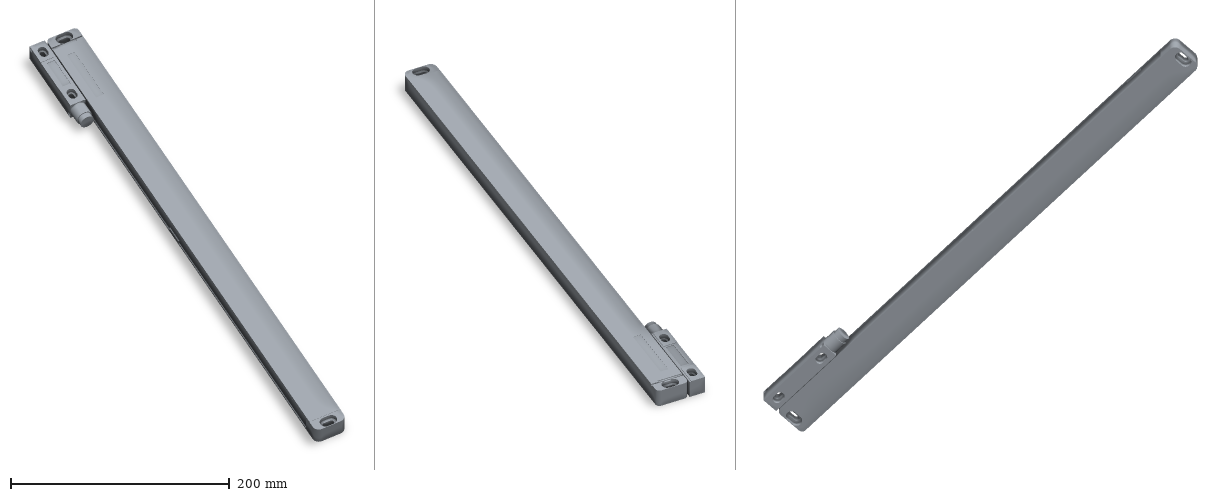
import cadquery as cq

length = 525.0
depth = 49.0
height = 18.0

rail_depth = 32.0
rail_front = depth - rail_depth
rail_mid = depth - rail_depth / 2
left_corner_radius = 4.0
right_corner_radius = 6.5
cap_length = 12.5
seam_depth = 0.25

panel_margin = 19.0
panel_depth = 1.0
lip_height = 1.5
tab_width = 18.0
tab_height = 4.45
upper_tab_x = 470.5
lower_tab_x = 249.0

cap_slot_inset = 6.0
cap_slot_spacing = 6.5
cap_slot_radius = 2.5
cap_bore_radius = 5.0
cap_bore_depth = 4.5

groove_narrow = 1.5
groove_x = cap_length - groove_narrow
groove_wide = 2 * groove_narrow
groove_deep = 1.5
groove_shallow = 0.8
groove_back_margin = 7.5

label_x = 25.0
label_length = 56.5
label_width = 8.0
label_back_margin = 16.0
label_depth = 0.25

head_length = 79.5
head_depth = 16.0
head_mid = head_depth / 2

ledge_width = 1.5
relief_depth = 0.5

saddle_start = 21.5
saddle_end = 57.0
pocket_start = 24.5
pocket_end = 55.5
pocket_front = 4.5
pocket_back = 12.5
pocket_depth = 0.5

head_slot_xs = (11.5, 67.5)
head_slot_spacing = 3.5
head_slot_radius = 2.35
head_bore_radius = 4.0
head_bore_depth = 4.5

corner_hole_radius = 2.35
corner_hole_inset = 2.5
corner_hole_depth = 8.5

collar_radius = 8.0
collar_length = 12.5
tip_radius = 7.0
tip_length = 5.0


def block(x0, x1, y0, y1, z0, z1):
    """Axis-aligned box between two corners."""
    return cq.Workplane("XY").box(x1 - x0, y1 - y0, z1 - z0, centered=False).translate((x0, y0, z0))


def slot(x, y, spacing, radius, angle, z0, z1):
    """Vertical round-ended slot; spacing is the distance between its end centres."""
    outline = cq.Workplane("XY", origin=(x, y, z0)).slot2D(spacing + 2 * radius, 2 * radius, angle)
    return outline.extrude(z1 - z0)


def counterbored_slot(x, y, spacing, radius, bore_radius, bore_depth, angle):
    """Through slot with a wider slot sunk from the top and from the bottom."""
    through = slot(x, y, spacing, radius, angle, 0, height)
    lower = slot(x, y, spacing, bore_radius, angle, 0, bore_depth)
    upper = slot(x, y, spacing, bore_radius, angle, height - bore_depth, height)
    return through.union(lower).union(upper)


def front_panel():
    """Recess in the rail's front, interrupted by one tab on each lip."""
    panel = block(
        panel_margin, length - panel_margin,
        rail_front, rail_front + panel_depth,
        lip_height, height - lip_height,
    )
    for tab_x, tab_bottom in ((upper_tab_x, height - tab_height), (lower_tab_x, 0)):
        tab = block(
            tab_x - tab_width / 2, tab_x + tab_width / 2,
            rail_front, rail_front + panel_depth,
            tab_bottom, tab_bottom + tab_height,
        )
        panel = panel.cut(tab)
    return panel


def cap_groove():
    """Deep groove across the top at the left cap, with a shallow step beside it that stops near the back."""
    wide_back = depth - groove_back_margin
    narrow = block(groove_x, groove_x + groove_narrow, rail_front, depth, height - groove_deep, height)
    wide = block(groove_x, groove_x + groove_wide, rail_front, wide_back, height - groove_shallow, height)
    return narrow.union(wide)


def label_field():
    """Rectangular recess in the rail's top."""
    back = depth - label_back_margin
    return block(label_x, label_x + label_length, back - label_width, back, height - label_depth, height)


def right_cap_step():
    """Slight step down from the rail to the right cap, which marks their seam."""
    return block(length - cap_length, length, rail_front, depth, height - seam_depth, height)


def make_scale_unit():
    """Rail with its two end caps, as one solid."""
    body = block(0, length, rail_front, depth, 0, height)
    body = body.edges("|Z and <X").fillet(left_corner_radius)
    body = body.edges("|Z and >X").fillet(right_corner_radius)
    for recess in (front_panel(), cap_groove(), label_field(), right_cap_step()):
        body = body.cut(recess)
    for slot_x in (cap_slot_inset, length - cap_slot_inset):
        body = body.cut(counterbored_slot(
            slot_x, rail_mid, cap_slot_spacing, cap_slot_radius, cap_bore_radius, cap_bore_depth, 90
        ))
    return body


def corner_hole(x, z):
    """Blind hole drilled backwards from the head's front face."""
    plane = cq.Workplane("XZ", origin=(x, 0, z))
    return plane.circle(corner_hole_radius).extrude(-corner_hole_depth)


def cable_outlet():
    """Collar and smaller tip, stepped along X."""
    centre = (head_length, head_mid, height / 2)
    collar = cq.Workplane("YZ", origin=centre).circle(collar_radius).extrude(collar_length)
    return collar.faces(">X").workplane().circle(tip_radius).extrude(tip_length)


def make_reading_head():
    """Block that rides in front of the rail, with its cable outlet."""
    body = block(0, head_length, 0, head_depth, 0, height)
    ledge = block(0, head_length, head_depth - ledge_width, head_depth, height - relief_depth, height)
    saddle = block(saddle_start, saddle_end, 0, head_depth, height - relief_depth, height)
    pocket = block(
        pocket_start, pocket_end, pocket_front, pocket_back, height - relief_depth - pocket_depth, height
    )
    body = body.cut(ledge).cut(saddle).cut(pocket)
    for slot_x in head_slot_xs:
        body = body.cut(counterbored_slot(
            slot_x, head_mid, head_slot_spacing, head_slot_radius, head_bore_radius, head_bore_depth, 0
        ))
    body = body.cut(corner_hole(corner_hole_inset, height - corner_hole_inset))
    body = body.cut(corner_hole(head_length - corner_hole_inset, corner_hole_inset))
    return body.union(cable_outlet())


scale_unit = make_scale_unit()
reading_head = make_reading_head()

result = cq.Compound.makeCompound([scale_unit.val(), reading_head.val()])